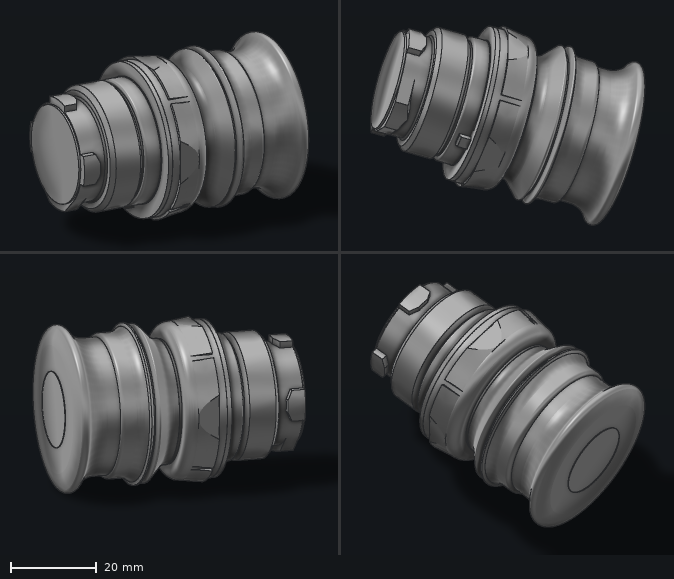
import cadquery as cq
import math

LENGTH = 58.0
DIAMETER = 39.6
BIG = 2 * LENGTH

NOSE_R = 11.85
NOSE_END = 0.5
NECK_R = 12.25
NECK_END = 7.15
NECK_FLARE = 0.45
BARREL_R = 15.1
BARREL_CHAMFER = 1.05
BARREL_END = 14.6
GROOVE_R = 14.0
GROOVE_CHAMFER_END = 15.55
GROOVE_END = 16.05
COLLAR_ROUND = 0.6
COLLAR_FILLET = 0.2

RING_R = 18.7
RING_START = 20.1
RING_END = 31.1
RING_LIP_R = 18.6
RING_LIP_END = 21.2
SHOULDER_START = 28.55
SHOULDER_R = 2.8
SHOULDER_ANGLE = 43.0

PAD_START = 23.2
PAD_END = 28.25
PAD_R = 19.45
PAD_SLOT = 1.35

SLEEVE_BASE_R = 14.75
SLEEVE_BASE_END = 31.7
WAIST_R = 14.85
WAIST_FLARE_START = 32.3
WAIST_FLARE_R = 2.95
FRONT_RIDGE_R = 18.8
FRONT_RIDGE_Y = 37.5
REAR_RIDGE_R = 19.15
REAR_RIDGE_Y = 39.7
RIDGE_TIP_R = 0.3
VALLEY_R = 17.4
VALLEY_Y = 38.55
VALLEY_FLAT = 0.35
BAND_R = 17.15
BAND_START = 42.8
BAND_FLARE_R = 3.7
BAND_END = 46.65
BAND_ROUND = 1.0
HANDLE_R = 16.25
BEAD_R = DIAMETER / 2
BEAD_Y = 55.85
BEAD_ROUND = 1.15
FLARE_ANGLE = 60.0
CROWN_ANGLE = 64.0
REAR_DISC_R = 9.0
REAR_DISC_HEIGHT = 0.2

LUG_R = 13.7
LUG_START = NOSE_END
LUG_END = 4.8
LUG_HALF_WIDTH = 3.7
LUG_TAPER_LENGTH = 1.1
LUG_TAPER_WIDTH = 2.2
WIDE_LUG_FLANK_ANGLE = 43.0
WIDE_LUG_FLANK_OFFSET = 12.25

KEY_WIDTH = 2.9
KEY_Z = -16.25
KEY_START = 17.2
KEY_CHAMFER = 0.5


def on_circle(centre, radius, degrees):
    """Profile point (r, y); 0 degrees points away from the axis, 90 towards the rear."""
    angle = math.radians(degrees)
    return centre[0] + radius * math.cos(angle), centre[1] + radius * math.sin(angle)


def add_arc(profile, centre, radius, start, end):
    """Run straight to the start of an arc, then along it to its end."""
    profile = profile.lineTo(*on_circle(centre, radius, start))
    middle = on_circle(centre, radius, (start + end) / 2)
    return profile.threePointArc(middle, on_circle(centre, radius, end))


def make_plug():
    collar_round_centre = (BARREL_R - COLLAR_ROUND, GROOVE_END + COLLAR_ROUND)
    profile = (
        cq.Workplane("XY")
        .lineTo(NOSE_R, 0)
        .lineTo(NOSE_R, NOSE_END)
        .lineTo(NECK_R, NOSE_END)
        .lineTo(NECK_R, NECK_END - NECK_FLARE)
        .lineTo(NECK_R + NECK_FLARE, NECK_END)
        .lineTo(BARREL_R - BARREL_CHAMFER, NECK_END)
        .lineTo(BARREL_R, NECK_END + BARREL_CHAMFER)
        .lineTo(BARREL_R, BARREL_END)
        .lineTo(GROOVE_R, GROOVE_CHAMFER_END)
        .lineTo(GROOVE_R, GROOVE_END)
    )
    profile = add_arc(profile, collar_round_centre, COLLAR_ROUND, -90, 0)
    fillet_centre = (BARREL_R + COLLAR_FILLET, RING_START - COLLAR_FILLET)
    profile = add_arc(profile, fillet_centre, COLLAR_FILLET, 180, 90)
    profile = profile.lineTo(0, RING_START).close()
    return profile.revolve(360, (0, 0), (0, 1))


def make_ring():
    """Ring whose rear edge rounds over in two tangent arcs, the second one tighter."""
    shoulder_centre = (RING_R - SHOULDER_R, SHOULDER_START)
    shoulder_end = on_circle(shoulder_centre, SHOULDER_R, SHOULDER_ANGLE)
    corner_r = (RING_END - shoulder_end[1]) / (1 - math.sin(math.radians(SHOULDER_ANGLE)))
    corner_centre = on_circle(shoulder_end, corner_r, SHOULDER_ANGLE - 180)
    corner_middle = on_circle(corner_centre, corner_r, (SHOULDER_ANGLE + 90) / 2)
    profile = (
        cq.Workplane("XY")
        .moveTo(0, RING_START)
        .lineTo(RING_LIP_R, RING_START)
        .lineTo(RING_LIP_R, RING_LIP_END)
        .lineTo(RING_R, RING_LIP_END)
    )
    profile = add_arc(profile, shoulder_centre, SHOULDER_R, 0, SHOULDER_ANGLE)
    profile = profile.threePointArc(corner_middle, (corner_centre[0], RING_END))
    return profile.lineTo(0, RING_END).close().revolve(360, (0, 0), (0, 1))


def make_pads():
    """Flared band, flattened on four sides and split by slots at the diagonals."""
    pads = (
        cq.Workplane("XY")
        .moveTo(0, PAD_START)
        .lineTo(PAD_R, PAD_START)
        .lineTo(RING_R, PAD_END)
        .lineTo(0, PAD_END)
        .close()
        .revolve(360, (0, 0), (0, 1))
    )
    pads = pads.intersect(cq.Workplane("XY").box(2 * RING_R, BIG, 2 * RING_R))
    slot = cq.Workplane("XY").box(BIG, BIG, PAD_SLOT)
    for angle in (45, 135):
        pads = pads.cut(slot.rotate((0, 0, 0), (0, 1, 0), angle))
    return pads


def make_sleeve():
    rear_face = LENGTH - REAR_DISC_HEIGHT
    bead_centre = (BEAD_R - BEAD_ROUND, BEAD_Y)
    flare_end = on_circle(bead_centre, BEAD_ROUND, -FLARE_ANGLE)
    flare_r = (flare_end[0] - HANDLE_R) / (1 - math.cos(math.radians(FLARE_ANGLE)))
    flare_centre = on_circle(flare_end, flare_r, -FLARE_ANGLE)
    crown_start = on_circle(bead_centre, BEAD_ROUND, CROWN_ANGLE)
    crown_r = (rear_face - crown_start[1]) / (1 - math.sin(math.radians(CROWN_ANGLE)))
    crown_centre = on_circle(crown_start, crown_r, CROWN_ANGLE - 180)

    band_round_angle = math.degrees(math.acos(1 - (BAND_R - HANDLE_R) / BAND_ROUND))
    band_round_length = BAND_ROUND * math.sin(math.radians(band_round_angle))
    band_round_centre = (BAND_R - BAND_ROUND, BAND_END - band_round_length)

    profile = (
        cq.Workplane("XY")
        .moveTo(0, RING_END)
        .lineTo(SLEEVE_BASE_R, RING_END)
        .lineTo(SLEEVE_BASE_R, SLEEVE_BASE_END)
        .lineTo(WAIST_R, SLEEVE_BASE_END)
    )
    waist_centre = (WAIST_R + WAIST_FLARE_R, WAIST_FLARE_START)
    profile = add_arc(profile, waist_centre, WAIST_FLARE_R, 180, 135)
    front_tip_centre = (FRONT_RIDGE_R - RIDGE_TIP_R, FRONT_RIDGE_Y)
    profile = add_arc(profile, front_tip_centre, RIDGE_TIP_R, -45, 60)
    profile = profile.lineTo(VALLEY_R, VALLEY_Y - VALLEY_FLAT / 2)
    profile = profile.lineTo(VALLEY_R, VALLEY_Y + VALLEY_FLAT / 2)
    rear_tip_centre = (REAR_RIDGE_R - RIDGE_TIP_R, REAR_RIDGE_Y)
    profile = add_arc(profile, rear_tip_centre, RIDGE_TIP_R, -60, 45)
    profile = add_arc(profile, (BAND_R + BAND_FLARE_R, BAND_START), BAND_FLARE_R, 225, 180)
    profile = add_arc(profile, band_round_centre, BAND_ROUND, 0, band_round_angle)
    profile = add_arc(profile, flare_centre, flare_r, 180, 180 - FLARE_ANGLE)
    profile = profile.threePointArc((BEAD_R, BEAD_Y), crown_start)
    crown_middle = on_circle(crown_centre, crown_r, (CROWN_ANGLE + 90) / 2)
    profile = profile.threePointArc(crown_middle, (crown_centre[0], rear_face))
    profile = profile.lineTo(REAR_DISC_R, rear_face).lineTo(REAR_DISC_R, LENGTH).lineTo(0, LENGTH)
    return profile.close().revolve(360, (0, 0), (0, 1))


def make_flank(offset, angle):
    """Block bounded by one lug flank; its outward side is turned from -Z by the angle."""
    return (
        cq.Workplane("YZ")
        .moveTo(LUG_START, BIG)
        .lineTo(LUG_START, -offset)
        .lineTo(LUG_END - LUG_TAPER_LENGTH, -offset)
        .lineTo(LUG_END, LUG_TAPER_WIDTH - offset)
        .lineTo(LUG_END, BIG)
        .close()
        .extrude(BIG, both=True)
        .rotate((0, 0, 0), (0, 1, 0), angle)
    )


def make_lug(flank_offset, flank_angle):
    """Lug on the -Z side of the nose, kept below the feet of its flanks."""
    lug = cq.Workplane("XZ").circle(LUG_R).extrude(-LUG_END)
    top_z = -flank_offset * math.cos(math.radians(flank_angle))
    lug = lug.intersect(cq.Workplane("XY").workplane(offset=top_z).rect(BIG, BIG).extrude(-BIG))
    for angle in (-flank_angle, flank_angle):
        lug = lug.intersect(make_flank(flank_offset, angle))
    return lug


def make_key():
    return (
        cq.Workplane("YZ")
        .moveTo(RING_START, 0)
        .lineTo(RING_START, KEY_Z)
        .lineTo(KEY_START + KEY_CHAMFER, KEY_Z)
        .lineTo(KEY_START, KEY_Z + KEY_CHAMFER)
        .lineTo(KEY_START, 0)
        .close()
        .extrude(KEY_WIDTH / 2, both=True)
    )


result = make_plug().union(make_ring()).union(make_pads()).union(make_sleeve()).union(make_key())
result = result.union(make_lug(WIDE_LUG_FLANK_OFFSET, WIDE_LUG_FLANK_ANGLE))
narrow_lug = make_lug(LUG_HALF_WIDTH, 90)
for turn in (90, 180, 270):
    result = result.union(narrow_lug.rotate((0, 0, 0), (0, 1, 0), turn))